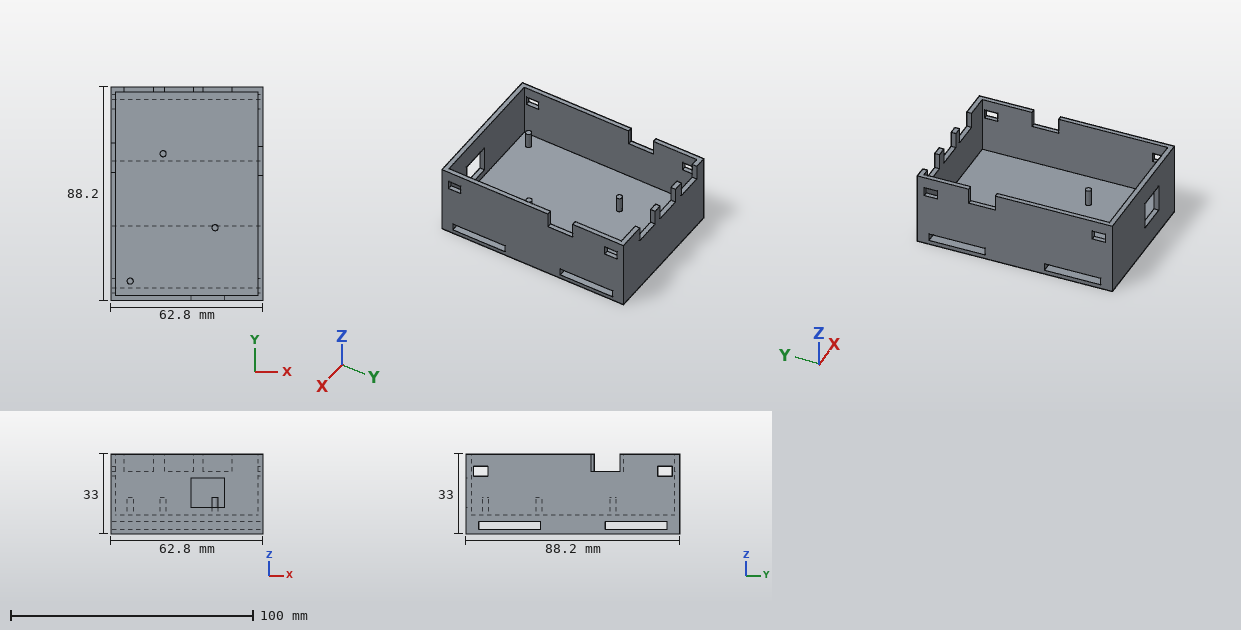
import cadquery as cq

width = 62.8
length = 88.2
height = 33.0
side_wall = 2.0
end_wall = 2.2
floor_thickness = 7.9

notch_width = 12.0
notch_depth = 7.1
back_notch_starts = (5.6, 22.1, 38.0)
left_notch_start = 52.9
right_notch_start = 51.5

latch_length = 5.9
latch_height = 4.0
latch_bottom = 24.0
latch_inset = 3.2

strap_length = 25.4
strap_height = 3.3
strap_bottom = 1.9
strap_inset = 5.3

window_x = 33.1
window_width = 13.85
window_bottom = 10.9
window_height = 12.2

pin_diameter = 2.6
pin_height = 7.2
pin_centers = ((21.6, 60.6), (43.0, 30.1), (8.0, 8.0))


def block(x, y, z, size_x, size_y, size_z):
    """Box with its lowest corner at (x, y, z)."""
    return cq.Workplane("XY").box(size_x, size_y, size_z, centered=False).translate((x, y, z))


def cross_openings(inset, opening_length, bottom, opening_height):
    """Two openings across the full width, equally inset from the front and back."""
    front = block(0, inset, bottom, width, opening_length, opening_height)
    back = block(0, length - inset - opening_length, bottom, width, opening_length, opening_height)
    return front.union(back)


cavity = block(
    side_wall,
    end_wall,
    floor_thickness,
    width - 2 * side_wall,
    length - 2 * end_wall,
    height - floor_thickness,
)
result = block(0, 0, 0, width, length, height).cut(cavity)

notch_bottom = height - notch_depth
for start in back_notch_starts:
    result = result.cut(
        block(start, length - end_wall, notch_bottom, notch_width, end_wall, notch_depth)
    )
for wall_x, start in ((0, left_notch_start), (width - side_wall, right_notch_start)):
    result = result.cut(block(wall_x, start, notch_bottom, side_wall, notch_width, notch_depth))

result = result.cut(cross_openings(latch_inset, latch_length, latch_bottom, latch_height))
result = result.cut(cross_openings(strap_inset, strap_length, strap_bottom, strap_height))

result = result.cut(block(window_x, 0, window_bottom, window_width, end_wall, window_height))

pins = (
    cq.Workplane("XY")
    .workplane(offset=floor_thickness)
    .pushPoints(pin_centers)
    .circle(pin_diameter / 2)
    .extrude(pin_height)
)
result = result.union(pins)